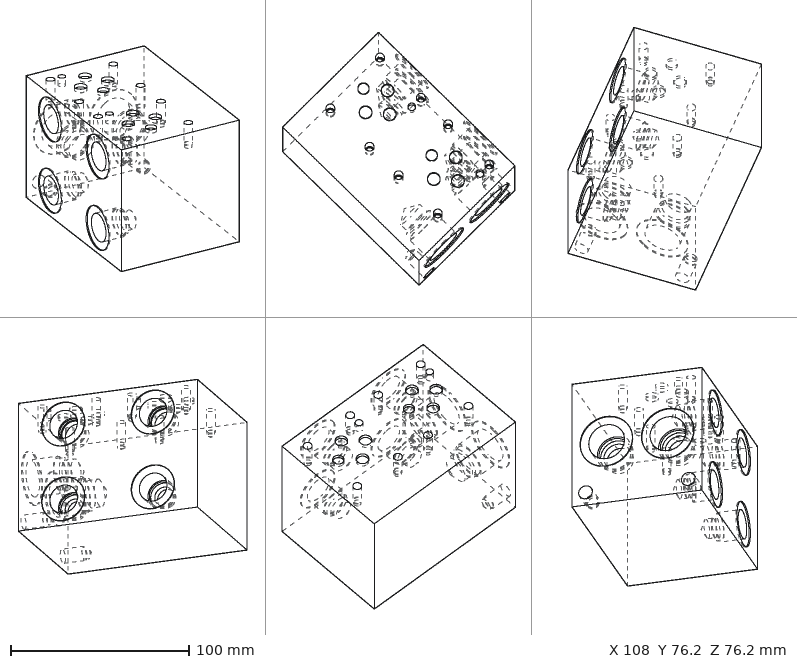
import cadquery as cq
import math

LENGTH = 108.0
WIDTH = 76.2
HEIGHT = 76.2

STATION_PITCH = LENGTH / 2
STATION_CENTERS = [STATION_PITCH / 2, STATION_PITCH * 3 / 2]

DRILL_POINT_ANGLE = 118.0
POINT_SLOPE = 1 / math.tan(math.radians(DRILL_POINT_ANGLE / 2))

SPOTFACE_DEPTH = 0.8

BOLT_DIA = 5.0
BOLT_CORE_DIA = 4.2
BOLT_THREAD_DEPTH = 13.0
BOLT_CORE_DEPTH = 15.1
REAR_BOLT_Y = 49.8
BOLT_PITCH_Y = 40.2
REAR_BOLT_PITCH_X = 31.0
FRONT_BOLT_PITCH_X = 32.5
BOLT_OFFSETS = [
    (-REAR_BOLT_PITCH_X / 2, 0),
    (REAR_BOLT_PITCH_X / 2, 0),
    (-FRONT_BOLT_PITCH_X / 2, -BOLT_PITCH_Y),
    (FRONT_BOLT_PITCH_X / 2, -BOLT_PITCH_Y),
]

PIN_DIA = 4.3
PIN_DEPTH = 5.4
PIN_FROM_REAR_BOLTS = 32.8

FLOW_DIA = 7.1
PRESSURE_DIA = 6.4
FLOW_DEPTH = 2.0
DIAMOND_CENTER_Y = 28.6
DIAMOND_HALF_X = 10.4
DIAMOND_HALF_Y = 8.7

FRONT_SPOTFACE_DIA = 25.9
FRONT_THREAD_DIA = 16.6
FRONT_CORE_DIA = 15.1
FRONT_THREAD_DEPTH = 14.0
FRONT_CORE_DEPTH = 16.2
FRONT_DRILL_DEPTH = 21.6
UPPER_DRILL_DIA = 14.2
LOWER_DRILL_DIA = 11.1
UPPER_PORT_Z = 60.3
LOWER_PORT_Z = 15.8

GALLERY_SPOTFACE_DIA = 30.7
GALLERY_THREAD_DIA = 20.9
GALLERY_CORE_DIA = 18.9
GALLERY_DRILL_DIA = 15.7
GALLERY_THREAD_DEPTH = 17.3
GALLERY_CORE_DEPTH = 20.5
GALLERY_DRILL_DEPTH = 27.0
GALLERY_Z = HEIGHT / 2
GALLERY_CENTER_Y = WIDTH / 2
GALLERY_PITCH = 36.0

MOUNT_DIA = 8.0
MOUNT_CORE_DIA = 6.8
MOUNT_THREAD_DEPTH = 13.0
MOUNT_CORE_DEPTH = 15.1
MOUNT_EDGE = 8.0


def bore(counterbores, drills):
    """Stepped hole along +Z. Both lists hold (diameter, depth from the mouth), widest first.

    Counterbores end in a flat ledge; drills end in a cone that runs into the next step.
    """
    profile = [(0, 0)]
    start = 0
    for diameter, depth in counterbores:
        profile += [(diameter / 2, start), (diameter / 2, depth)]
        start = depth
    for i, (diameter, depth) in enumerate(drills):
        profile += [(diameter / 2, start), (diameter / 2, depth)]
        next_radius = drills[i + 1][0] / 2 if i + 1 < len(drills) else 0
        start = depth + (diameter / 2 - next_radius) * POINT_SLOPE
    profile.append((0, start))
    return cq.Workplane("XZ").polyline(profile).close().revolve(360, (0, 0), (0, 1)).val()


def from_top(x, y):
    return cq.Plane(origin=(x, y, HEIGHT), xDir=(1, 0, 0), normal=(0, 0, -1)).location


def from_front(x, z):
    return cq.Plane(origin=(x, 0, z), xDir=(1, 0, 0), normal=(0, 1, 0)).location


def from_left(y, z):
    return cq.Plane(origin=(0, y, z), xDir=(0, 0, 1), normal=(1, 0, 0)).location


def valve_station(center_x):
    bolt = bore([(BOLT_DIA, BOLT_THREAD_DEPTH)], [(BOLT_CORE_DIA, BOLT_CORE_DEPTH)])
    pin = bore([], [(PIN_DIA, PIN_DEPTH)])
    flow = bore([], [(FLOW_DIA, FLOW_DEPTH)])
    pressure = bore([], [(PRESSURE_DIA, FLOW_DEPTH)])

    holes = [bolt.moved(from_top(center_x + dx, REAR_BOLT_Y + dy)) for dx, dy in BOLT_OFFSETS]
    holes.append(pin.moved(from_top(center_x - FRONT_BOLT_PITCH_X / 2, REAR_BOLT_Y - PIN_FROM_REAR_BOLTS)))
    holes.append(pressure.moved(from_top(center_x + DIAMOND_HALF_X, DIAMOND_CENTER_Y)))
    for dx, dy in [(-DIAMOND_HALF_X, 0), (0, DIAMOND_HALF_Y), (0, -DIAMOND_HALF_Y)]:
        holes.append(flow.moved(from_top(center_x + dx, DIAMOND_CENTER_Y + dy)))
    return holes


def front_port(x, z, drill_dia):
    port = bore(
        [(FRONT_SPOTFACE_DIA, SPOTFACE_DEPTH), (FRONT_THREAD_DIA, FRONT_THREAD_DEPTH)],
        [(FRONT_CORE_DIA, FRONT_CORE_DEPTH), (drill_dia, FRONT_DRILL_DEPTH)],
    )
    return port.moved(from_front(x, z))


def left_side_holes():
    gallery = bore(
        [(GALLERY_SPOTFACE_DIA, SPOTFACE_DEPTH), (GALLERY_THREAD_DIA, GALLERY_THREAD_DEPTH)],
        [(GALLERY_CORE_DIA, GALLERY_CORE_DEPTH), (GALLERY_DRILL_DIA, GALLERY_DRILL_DEPTH)],
    )
    mount = bore([(MOUNT_DIA, MOUNT_THREAD_DEPTH)], [(MOUNT_CORE_DIA, MOUNT_CORE_DEPTH)])
    holes = []
    for side in (-1, 1):
        holes.append(gallery.moved(from_left(GALLERY_CENTER_Y + side * GALLERY_PITCH / 2, GALLERY_Z)))
        mount_y = WIDTH / 2 + side * (WIDTH / 2 - MOUNT_EDGE)
        holes.append(mount.moved(from_left(mount_y, MOUNT_EDGE)))
    return holes


cutters = left_side_holes()
for station_x in STATION_CENTERS:
    cutters += valve_station(station_x)
    cutters.append(front_port(station_x, UPPER_PORT_Z, UPPER_DRILL_DIA))
    cutters.append(front_port(station_x, LOWER_PORT_Z, LOWER_DRILL_DIA))

block = cq.Workplane("XY").box(LENGTH, WIDTH, HEIGHT, centered=False).val()
result = cq.Workplane("XY").newObject([block.cut(*cutters)])